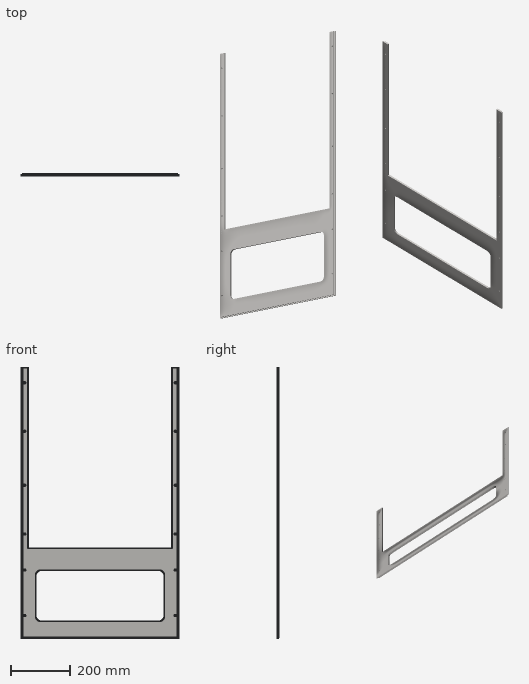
import cadquery as cq

width = 533.0
height = 914.0
thickness = 6.3

arm_width = 24.0
panel_height = 304.5

window_width = 433.0
window_bottom = 58.0
window_top = 229.5
window_corner_radius = 17.0

hole_diameter = 4.85
hole_edge_distance = 12.0
hole_heights = [77.0, 230.0, 352.0, 517.0, 699.0, 863.0]

rebate_depth = thickness / 2
side_rebate = 6.3
bottom_rebate = 4.0


def block(block_width, bottom, top):
    """Full-thickness block centred on X between two heights."""
    return (
        cq.Workplane("XY")
        .box(block_width, thickness, top - bottom, centered=(True, False, False))
        .translate((0, 0, bottom))
    )


def rebated_plate():
    rear_layer = block(width - 2 * side_rebate, bottom_rebate, height)
    front_layer = block(width, 0, height).faces("<Y").workplane(offset=-rebate_depth).split(keepTop=True)
    return front_layer.union(rear_layer)


def arm_opening():
    return block(width - 2 * arm_width, panel_height, height)


def window():
    return block(window_width, window_bottom, window_top).edges("|Y").fillet(window_corner_radius)


def mounting_holes():
    hole_x = width / 2 - hole_edge_distance
    centers = [(side * hole_x, z) for side in (-1, 1) for z in hole_heights]
    return cq.Workplane("XZ").pushPoints(centers).circle(hole_diameter / 2).extrude(-thickness)


result = rebated_plate().cut(arm_opening()).cut(window()).cut(mounting_holes())